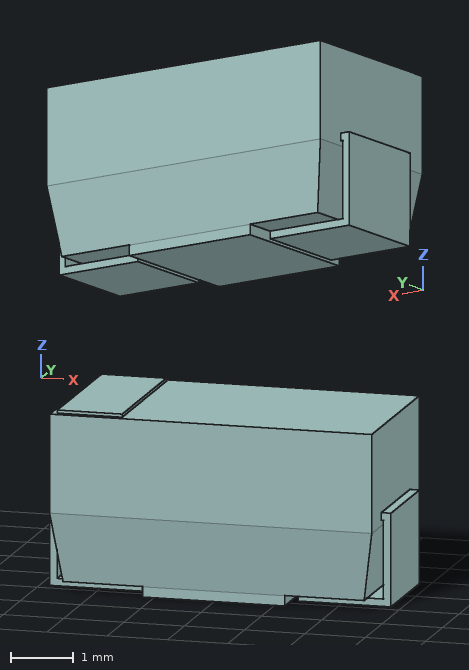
import cadquery as cq

overall_length = 5.66
overall_height = 3.0

housing_length = 5.345
housing_width = 2.84
seam_height = 1.33
housing_bottom = 0.175
taper_inset = 0.175
foot_length = 2.355

mark_thickness = 0.05
mark_margin = 0.1
mark_length = 1.075

terminal_width = 1.7
terminal_height = 1.54
terminal_foot_length = 1.54
sheet_thickness = 0.125

housing_top = overall_height - mark_thickness
bottom_length = housing_length - 2 * taper_inset
bottom_width = housing_width - 2 * taper_inset


def make_housing():
    """Straight upper block, tapered lower block and a central foot."""
    upper = (
        cq.Workplane("XY", origin=(0, 0, seam_height))
        .rect(housing_length, housing_width)
        .extrude(housing_top - seam_height)
    )
    lower = (
        cq.Workplane("XY", origin=(0, 0, housing_bottom))
        .rect(bottom_length, bottom_width)
        .workplane(offset=seam_height - housing_bottom)
        .rect(housing_length, housing_width)
        .loft(ruled=True)
    )
    foot = cq.Workplane("XY").rect(foot_length, bottom_width).extrude(housing_bottom)
    return upper.union(lower).union(foot)


def make_mark():
    """Thin plate lying on the top face near the -X end."""
    mark_width = housing_width - 2 * mark_margin
    mark_center_x = -housing_length / 2 + mark_margin + mark_length / 2
    return (
        cq.Workplane("XY", origin=(mark_center_x, 0, housing_top))
        .rect(mark_length, mark_width)
        .extrude(mark_thickness)
    )


def make_terminal(side):
    """C-shaped strip at one end (side is -1 or 1): top arm, upright and foot."""
    outer_x = side * overall_length / 2
    inner_x = side * (overall_length / 2 - sheet_thickness)
    arm_tip_x = side * housing_length / 2
    foot_tip_x = side * (overall_length / 2 - terminal_foot_length)
    profile = [
        (outer_x, 0),
        (outer_x, terminal_height),
        (arm_tip_x, terminal_height),
        (arm_tip_x, terminal_height - sheet_thickness),
        (inner_x, terminal_height - sheet_thickness),
        (inner_x, sheet_thickness),
        (foot_tip_x, sheet_thickness),
        (foot_tip_x, 0),
    ]
    return cq.Workplane("XZ").polyline(profile).close().extrude(terminal_width / 2, both=True)


housing = make_housing()
mark = make_mark()
terminals = [make_terminal(side).val() for side in (-1, 1)]

result = cq.Compound.makeCompound([housing.val(), mark.val(), *terminals])